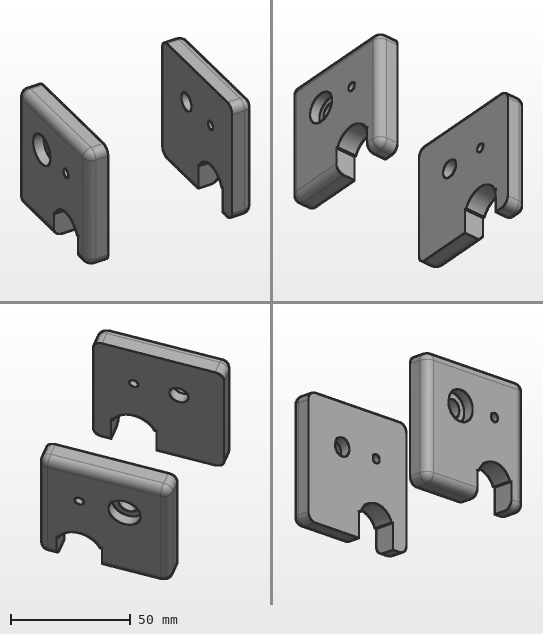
import cadquery as cq

plate_size = 58.0
plate_thickness = 10.0
overall_depth = 80.0
edge_radius = 4.0

bolt_x = 20.0
pin_x = 40.0
hole_z = 38.0
slot_x = pin_x

bolt_diameter = 8.4
counterbore_diameter = 14.2
counterbore_depth = plate_thickness / 2
pin_diameter = 4.0

slot_width = 20.0
slot_side_height = 12.0
slot_arc_radius = slot_width / 2
slot_arc_center_z = 8.0


def cylinder_along_y(x, z, diameter, depth):
    """Cylinder that starts at the outer face (Y = 0) and runs toward +Y."""
    start = cq.Vector(x, 0, z)
    return cq.Workplane(obj=cq.Solid.makeCylinder(diameter / 2, depth, start, cq.Vector(0, 1, 0)))


def rounded_blank():
    """Square plate, rounded at the four corners and around the outer face."""
    blank = cq.Workplane("XY").box(plate_size, plate_thickness, plate_size, centered=False)
    return blank.edges("|Y or <Y").fillet(edge_radius)


def slot_cutter():
    """Straight-sided slot joined with the cylinder that forms its round top."""
    straight = (
        cq.Workplane("XY")
        .box(slot_width, plate_thickness, slot_side_height, centered=False)
        .translate((slot_x - slot_width / 2, 0, 0))
    )
    round_top = cylinder_along_y(slot_x, slot_arc_center_z, 2 * slot_arc_radius, plate_thickness)
    return straight.union(round_top)


def make_plate():
    """Clamp plate with its outer, counterbored face at Y = 0."""
    return (
        rounded_blank()
        .cut(cylinder_along_y(bolt_x, hole_z, bolt_diameter, plate_thickness))
        .cut(cylinder_along_y(bolt_x, hole_z, counterbore_diameter, counterbore_depth))
        .cut(cylinder_along_y(pin_x, hole_z, pin_diameter, plate_thickness))
        .cut(slot_cutter())
    )


plates = []
for mirrored in (False, True):
    plate = make_plate()
    if mirrored:
        plate = plate.mirror("XZ").translate((0, overall_depth, 0))
    plates.append(plate.val())

result = cq.Compound.makeCompound([solid for plate in plates for solid in plate.Solids()])